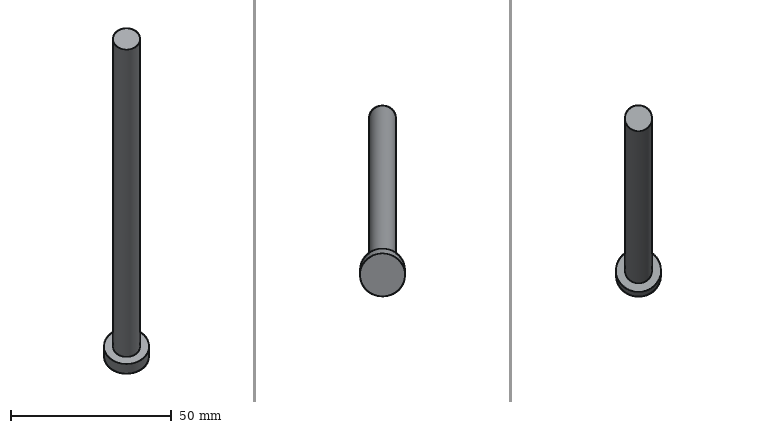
import cadquery as cq

total_length = 160.0
head_diameter = 14.0
head_height = 5.0
shaft_diameter = 8.5

head_bottom = -total_length / 2

head = (
    cq.Workplane("XY")
    .workplane(offset=head_bottom)
    .circle(head_diameter / 2)
    .extrude(head_height)
)

result = (
    head.faces(">Z")
    .workplane()
    .circle(shaft_diameter / 2)
    .extrude(total_length - head_height)
)